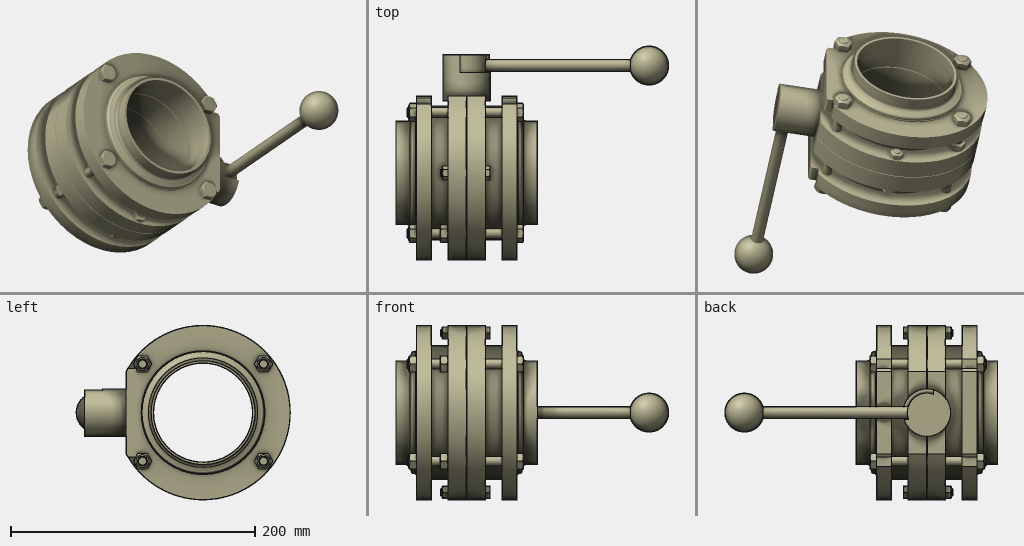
import cadquery as cq
import math


bore_d = 81.0
pipe_d = 85.0
overall_length = 116.0
flange_d = 143.0
flat_y = 63.0

half_gap = 0.5
half_flange_x = 15.25
drum_d = 110.0
seal_groove_d = 84.6
seal_groove_width = 0.8

weld_inner_x = 29.0
weld_outer_x = 41.1
notch_y = 56.3
notch_z = 36.3
rim_d = 101.4
rim_length = 0.8
collar_d = 100.0
collar_round_r = 1.9
shoulder_d = 89.6
shoulder_x = 46.5
collar_face_x = 45.3
cove_start_x = 48.9
cove_bow = 0.75

thread_core_ratio = 6.65 / 8
long_bolt_d = 8.0
long_bolt_flats = 13.0
long_head = 5.5
long_nut = 6.5
long_bolt_y = 49.6
long_bolt_z = 39.8
short_bolt_d = 6.0
short_bolt_flats = 10.0
short_head = 4.0
short_nut = 5.0
short_bolt_z = 65.3
bolt_tip = 1.2
hex_chamfer_angle = 30.0
nut_chamfer_ratio = 0.82
head_chamfer_ratio = 0.95

hub_d = 39.0
hub_bottom_y = 59.1
hub_top_y = 97.0
window_y = 82.5
window_margin = 5.5
core_d = 32.0
rod_d = 10.0
rod_y = 88.0
ball_d = 32.0
ball_x = 149.5


def x_cylinder(diameter, x_start, x_end, y=0.0, z=0.0):
    """Cylinder along X between two stations."""
    return (
        cq.Workplane("YZ", origin=(x_start, y, z))
        .circle(diameter / 2)
        .extrude(x_end - x_start)
    )


def flat_sided_disc(x_start, x_end):
    """Round flange disc with the flat on its spindle side."""
    disc = x_cylinder(flange_d, x_start, x_end)
    cutter = cq.Workplane("XY").box(
        x_end - x_start, flange_d, flange_d, centered=(False, False, True)
    )
    return disc.cut(cutter.translate((x_start, flat_y, 0)))


def hexagon(across_flats, x_start, x_end, y, z, chamfer_ratio, chamfer_start, chamfer_end):
    """Hexagon along X, corners on Y, with a turned chamfer on the chosen ends."""
    across_corners = across_flats / math.cos(math.pi / 6)
    height = x_end - x_start
    prism = cq.Workplane("YZ").polygon(6, across_corners).extrude(height)
    corner_r = across_corners / 2
    end_r = across_flats * chamfer_ratio / 2
    chamfer = (corner_r - end_r) * math.tan(math.radians(hex_chamfer_angle))
    outline = [(0, 0)]
    if chamfer_start:
        outline += [(0, end_r), (chamfer, corner_r)]
    else:
        outline += [(0, corner_r)]
    if chamfer_end:
        outline += [(height - chamfer, corner_r), (height, end_r)]
    else:
        outline += [(height, corner_r)]
    outline += [(height, 0)]
    turned = cq.Workplane("XY").polyline(outline).close().revolve(360, (0, 0, 0), (1, 0, 0))
    return prism.intersect(turned).translate((x_start, y, z))


def bolt(diameter, flats, face_x, head, nut, y, z):
    """Bolt through faces at -face_x and +face_x, with its head on +X and its nut and tip on -X."""
    nut_end = -face_x - nut
    tip_end = nut_end - bolt_tip
    tip_chamfer = diameter * (1 - thread_core_ratio) / 2
    shank = x_cylinder(diameter, tip_end, face_x, y, z).faces("<X").chamfer(tip_chamfer)
    bolt_head = hexagon(flats, face_x, face_x + head, y, z, head_chamfer_ratio, False, True)
    bolt_nut = hexagon(flats, nut_end, -face_x, y, z, nut_chamfer_ratio, True, False)
    return shank.union(bolt_head).union(bolt_nut)


def long_bolt(y, z):
    """Bolt clamping the welding flanges; on the -Y side it has a second nut on the valve body."""
    body = bolt(long_bolt_d, long_bolt_flats, weld_outer_x, long_head, long_nut, y, z)
    if y < 0:
        inner_nut = hexagon(
            long_bolt_flats, -half_flange_x - long_nut, -half_flange_x, y, z, head_chamfer_ratio, True, True
        )
        body = body.union(inner_nut)
    return body


def short_bolt(z):
    """Bolt holding the two valve halves together."""
    return bolt(short_bolt_d, short_bolt_flats, half_flange_x, short_head, short_nut, 0, z)


def welding_flange():
    """Welding flange on the +X side: notched disc, stepped collar and pipe end."""
    disc = flat_sided_disc(weld_inner_x, weld_outer_x)
    for side in (-1, 1):
        notch = cq.Workplane("XY").box(weld_outer_x, flange_d, flange_d, centered=False)
        notch = notch.translate((weld_inner_x, notch_y, notch_z))
        if side < 0:
            notch = notch.mirror("XY")
        disc = disc.cut(notch)

    rim_x = weld_outer_x + rim_length
    collar_r = collar_d / 2
    shoulder_r = shoulder_d / 2
    pipe_r = pipe_d / 2
    round_start_x = collar_face_x - collar_round_r
    round_mid = collar_round_r * math.sqrt(0.5)
    chord_x = cove_start_x - shoulder_x
    chord_r = shoulder_r - pipe_r
    chord = math.hypot(chord_x, chord_r)
    cove_mid = (
        (shoulder_x + cove_start_x) / 2 - cove_bow * chord_r / chord,
        (shoulder_r + pipe_r) / 2 - cove_bow * chord_x / chord,
    )
    neck = (
        cq.Workplane("XY")
        .moveTo(weld_inner_x, 0)
        .lineTo(weld_inner_x, rim_d / 2)
        .lineTo(rim_x, rim_d / 2)
        .lineTo(rim_x, collar_r)
        .lineTo(round_start_x, collar_r)
        .threePointArc(
            (round_start_x + round_mid, collar_r - collar_round_r + round_mid),
            (collar_face_x, collar_r - collar_round_r),
        )
        .lineTo(shoulder_x, shoulder_r)
        .threePointArc(cove_mid, (cove_start_x, pipe_r))
        .lineTo(overall_length / 2, pipe_r)
        .lineTo(overall_length / 2, 0)
        .close()
        .revolve(360, (0, 0, 0), (1, 0, 0))
    )
    return disc.union(neck).cut(x_cylinder(bore_d, weld_inner_x, overall_length / 2))


def valve_half():
    """Valve half on the +X side: flange and drum, bored through, with the seat for the hub."""
    flange = flat_sided_disc(half_gap / 2, half_flange_x)
    drum = x_cylinder(drum_d, half_flange_x, weld_inner_x)
    bore = x_cylinder(bore_d, 0, weld_inner_x)
    groove = x_cylinder(seal_groove_d, weld_inner_x - seal_groove_width, weld_inner_x)
    return flange.union(drum).cut(bore).cut(groove).cut(hub_cylinder(hub_d, hub_bottom_y))


def hub_cylinder(diameter, y_start):
    """Cylinder on the spindle axis from y_start up to the hub's end."""
    return (
        cq.Workplane("XZ", origin=(0, y_start, 0))
        .circle(diameter / 2)
        .extrude(y_start - hub_top_y)
    )


def ball_handle():
    """Hub with a quarter window, the rod that reaches out of it, and the ball knob."""
    window = cq.Workplane("XY").box(hub_d, hub_d, hub_d, centered=False)
    window = window.translate((-window_margin, window_y, -window_margin))
    hub = hub_cylinder(hub_d, hub_bottom_y).cut(window).union(hub_cylinder(core_d, hub_bottom_y))
    rod = x_cylinder(rod_d, 0, ball_x, rod_y)
    ball = cq.Workplane("XY").sphere(ball_d / 2, direct=(1, 0, 0)).translate((ball_x, rod_y, 0))
    return hub.union(rod).union(ball)


handle = ball_handle()
right_weld_flange = welding_flange()
left_weld_flange = right_weld_flange.mirror("YZ")
right_half = valve_half()
left_half = right_half.mirror("YZ")

for bolt_y in (-long_bolt_y, long_bolt_y):
    for bolt_z in (-long_bolt_z, long_bolt_z):
        clamp_bolt = long_bolt(bolt_y, bolt_z)
        left_weld_flange = left_weld_flange.union(clamp_bolt)
        left_half = left_half.cut(clamp_bolt)
        right_half = right_half.cut(clamp_bolt)
        right_weld_flange = right_weld_flange.cut(clamp_bolt)

for bolt_z in (-short_bolt_z, short_bolt_z):
    body_bolt = short_bolt(bolt_z)
    left_half = left_half.union(body_bolt)
    right_half = right_half.cut(body_bolt)

result = cq.Compound.makeCompound([
    left_weld_flange.val(),
    left_half.val(),
    right_half.val(),
    right_weld_flange.val(),
    handle.val(),
])